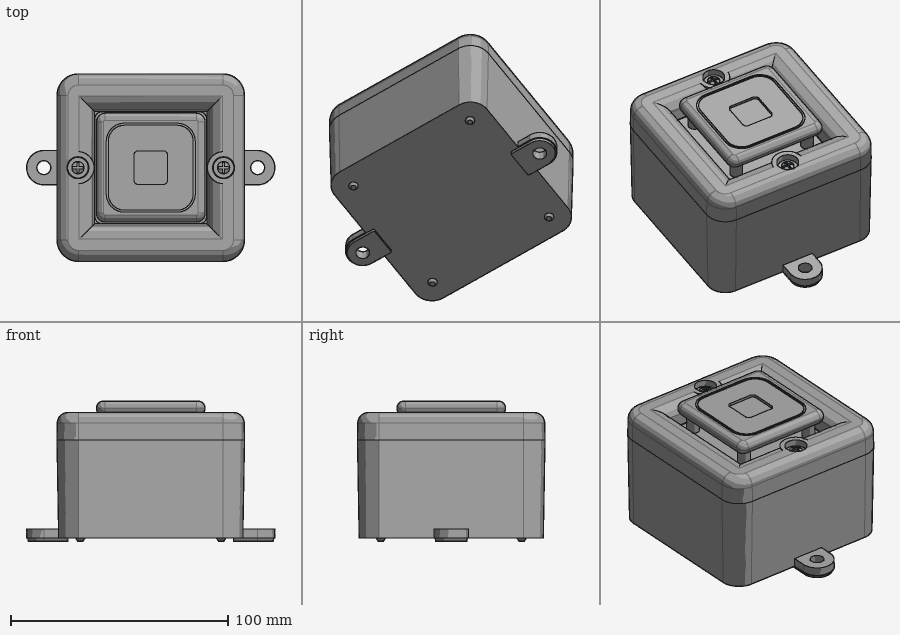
import cadquery as cq
import math

base_bottom = 1.4
split_height = 46.5
lid_top = 59.3
cap_top = 64.5
well_floor = 50.0

housing_width = 86.4
housing_corner = 10.0
housing_draft = 1.0
lid_edge_radius = 5.0

lug_radius = 7.95
lug_reach = 57.155
lug_center = lug_reach - lug_radius
lug_top = 5.65
lug_hole_diameter = 6.3
lug_draft = 1.0
lug_sole_start = 38.0
lug_sole_corner = 0.7
lug_sole_inset = 0.5
lug_sole_draft = 12.0
foot_spacing = 64.8
foot_top_radius = 2.2
foot_tip_radius = 1.2

well_rim_half = 32.9
well_throat_half = 26.8
well_floor_half = 25.8
well_curve_radius = 6.6
floor_recess_width = 51.2
floor_recess_corner = 2.8
floor_recess_depth = 0.2

cap_width = 50.1
cap_corner = 4.1
cap_edge_radius = 3.24
cap_thickness = 6.5
post_radius = 2.95
post_spacing = 37.8
ring_width = 41.0
ring_corner = 8.5
ring_gap = 0.95
ring_depth = 0.3
badge_width = 15.5
badge_corner = 2.0
badge_depth = 1.25

screw_offset = 33.5
screw_boss_radius = 7.4
screw_bore_radius = 5.05
screw_bore_floor_radius = 4.75
screw_bore_depth = 3.0
screw_head_radius = 2.85
screw_head_height = 1.5
screw_dome_rise = 0.7
cross_length = 4.8
cross_width = 1.0
cross_depth = 1.3


def rounded_square(width, corner, bottom, height, taper=0.0):
    """Upright block with rounded vertical edges; the taper narrows it along the extrusion."""
    outline = cq.Sketch().rect(width, width).vertices().fillet(corner)
    return cq.Workplane("XY", origin=(0, 0, bottom)).placeSketch(outline).extrude(height, taper=taper)


def upright_cylinder(x, y, radius, bottom, top):
    return cq.Workplane("XY", origin=(x, y, bottom)).circle(radius).extrude(top - bottom)


def cone(x, y, bottom, bottom_radius, top, top_radius):
    solid = cq.Solid.makeCone(bottom_radius, top_radius, top - bottom, pnt=cq.Vector(x, y, bottom))
    return cq.Workplane(solid)


def make_lug():
    """Mounting lug on the +X side, with a smaller sole below the base bottom."""
    lug_width = 2 * lug_radius
    inner_end = lug_sole_start - lug_radius
    length = lug_reach - inner_end
    middle = (lug_reach + inner_end) / 2
    level = cq.Workplane("XY", origin=(middle, 0, base_bottom))
    upper = level.slot2D(length, lug_width).extrude(lug_top - base_bottom, taper=lug_draft)
    sole_outline = level.slot2D(length - 2 * lug_sole_inset, lug_width - 2 * lug_sole_inset)
    lower = sole_outline.extrude(-base_bottom, taper=lug_sole_draft)
    sole_trim = cq.Workplane("XY").center(inner_end, 0).rect(lug_width, lug_width).extrude(base_bottom)
    lower = lower.cut(sole_trim).faces("<X").edges("not(#Z)").fillet(lug_sole_corner)
    hole = upright_cylinder(lug_center, 0, lug_hole_diameter / 2, 0, lug_top)
    return upper.union(lower).cut(hole)


def make_base():
    """Drafted base block with a lug on each side and four conical feet."""
    height = split_height - base_bottom
    base = rounded_square(housing_width, housing_corner, split_height, -height, housing_draft)
    lug = make_lug()
    for turn in (0, 180):
        base = base.union(lug.rotate((0, 0, 0), (0, 0, 1), turn))
    for x in (-foot_spacing / 2, foot_spacing / 2):
        for y in (-foot_spacing / 2, foot_spacing / 2):
            base = base.union(cone(x, y, 0, foot_tip_radius, base_bottom, foot_top_radius))
    return base


def well_prism(plane):
    """Long prism with the cross-section of the well: rounded shoulders above sloped walls."""
    run = well_rim_half - well_throat_half
    end_angle = math.asin(run / well_curve_radius)
    mid_angle = end_angle / 2

    def shoulder(side, angle):
        x = well_rim_half - well_curve_radius * math.sin(angle)
        return (side * x, lid_top - well_curve_radius * (1 - math.cos(angle)))

    return (
        cq.Workplane(plane)
        .moveTo(-well_floor_half, well_floor)
        .lineTo(well_floor_half, well_floor)
        .lineTo(*shoulder(1, end_angle))
        .threePointArc(shoulder(1, mid_angle), shoulder(1, 0))
        .lineTo(*shoulder(-1, 0))
        .threePointArc(shoulder(-1, mid_angle), shoulder(-1, end_angle))
        .close()
        .extrude(housing_width / 2, both=True)
    )


def make_well():
    """Square well whose shoulders meet in mitres, kept clear of the screw bosses."""
    well = well_prism("XZ").intersect(well_prism("YZ"))
    for x in (-screw_offset, screw_offset):
        well = well.cut(upright_cylinder(x, 0, screw_boss_radius, well_floor, lid_top))
    recess_bottom = well_floor - floor_recess_depth
    recess = rounded_square(floor_recess_width, floor_recess_corner, recess_bottom, floor_recess_depth)
    return well.union(recess)


def make_cap():
    """Flat sounder cap with a fully rounded rim, a ring groove and a square badge recess."""
    cap = rounded_square(cap_width, cap_corner, cap_top - cap_thickness, cap_thickness)
    cap = cap.faces("<Z or >Z").edges().fillet(cap_edge_radius)
    ring_bottom = cap_top - ring_depth
    ring = rounded_square(ring_width, ring_corner, ring_bottom, ring_depth)
    island = rounded_square(ring_width - 2 * ring_gap, ring_corner - ring_gap, ring_bottom, ring_depth)
    badge = rounded_square(badge_width, badge_corner, cap_top - badge_depth, badge_depth)
    return cap.cut(ring.cut(island)).cut(badge)


def make_lid():
    """Lid with its screw bores, and the sounder cap standing on four posts in the well."""
    lid = rounded_square(housing_width, housing_corner, split_height, lid_top - split_height, housing_draft)
    lid = lid.faces(">Z").edges().fillet(lid_edge_radius)
    lid = lid.cut(make_well())
    bore_floor = lid_top - screw_bore_depth
    for x in (-screw_offset, screw_offset):
        lid = lid.cut(cone(x, 0, bore_floor, screw_bore_floor_radius, lid_top, screw_bore_radius))
    post_foot = well_floor - floor_recess_depth
    cap_middle = cap_top - cap_thickness / 2
    for x in (-post_spacing / 2, post_spacing / 2):
        for y in (-post_spacing / 2, post_spacing / 2):
            lid = lid.union(upright_cylinder(x, y, post_radius, post_foot, cap_middle))
    return lid.union(make_cap())


def make_screw(x):
    """Domed screw head with a cross recess, seated on the floor of its bore."""
    seat = lid_top - screw_bore_depth
    crown = seat + screw_head_height
    dome_radius = (screw_head_radius**2 + screw_dome_rise**2) / (2 * screw_dome_rise)
    dome = cq.Workplane("XY", origin=(x, 0, crown - dome_radius)).sphere(dome_radius)
    head = upright_cylinder(x, 0, screw_head_radius, seat, crown).intersect(dome)
    recess = cq.Workplane("XY", origin=(x, 0, crown - cross_depth))
    for size in ((cross_length, cross_width), (cross_width, cross_length)):
        head = head.cut(recess.rect(*size).extrude(cross_depth))
    return head


base = make_base()
lid = make_lid()
screws = [make_screw(x) for x in (-screw_offset, screw_offset)]

result = cq.Compound.makeCompound([base.val(), lid.val(), *[screw.val() for screw in screws]])